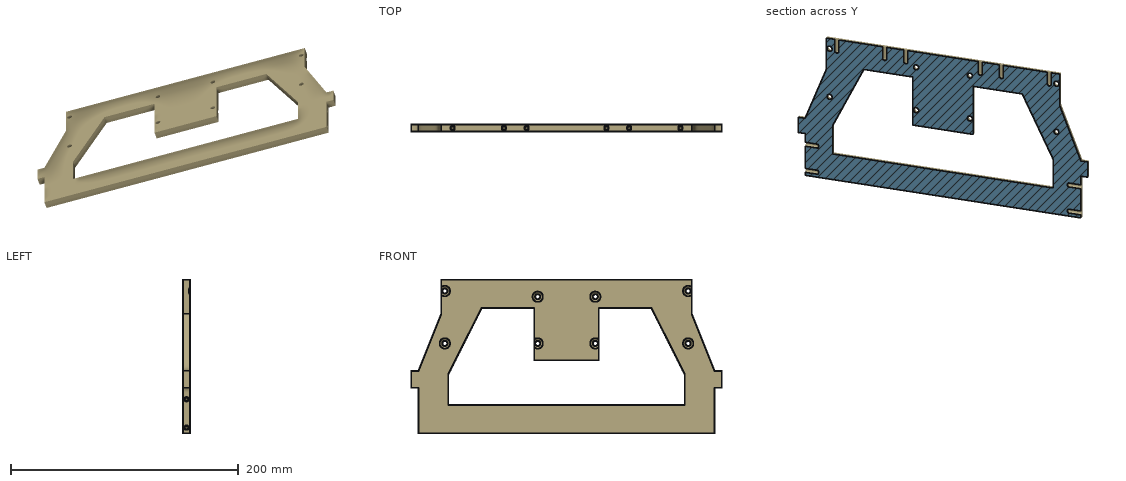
import cadquery as cq
import math

HEIGHT = 135.0
THICKNESS = 6.35
BASE_WIDTH = 260.0
TOP_WIDTH = 220.0

TAB_REACH = 6.35
TAB_BOTTOM = 40.0
TAB_TOP = 55.0
SHOULDER_TOP = 105.0

WINDOW_BOTTOM = 25.0
WINDOW_TOP = 110.0
WINDOW_WIDTH = 207.3
WINDOW_TOP_WIDTH = 149.0
WINDOW_CORNER = 52.0
TONGUE_WIDTH = 57.0
TONGUE_BOTTOM = 64.0

SCREW_DIAMETER = 4.3
SINK_DIAMETER = 9.2
SINK_ANGLE = 90.0
OUTER_SCREW_X = 106.8
INNER_SCREW_X = 25.3
LOWER_SCREW_Z = 79.0
OUTER_UPPER_SCREW_Z = 125.0
INNER_UPPER_SCREW_Z = 120.0

TAP_DIAMETER = 3.3
TAP_MOUTH_DIAMETER = 4.0
TAP_DEPTH = 12.0
DRILL_POINT_ANGLE = 118.0
TOP_TAP_X = (35.0, 55.0, 100.0)
SIDE_TAP_Z = (5.0, 30.0)

SIDES = (-1, 1)


def mirrored_outline(right_half):
    """Close a right-hand half outline with its mirror image across X = 0."""
    left_half = [(-x, z) for x, z in reversed(right_half)]
    return cq.Workplane("XZ").polyline(right_half + left_half).close()


def make_plate():
    base_x = BASE_WIDTH / 2
    tab_x = base_x + TAB_REACH
    outline = mirrored_outline([
        (base_x, 0),
        (base_x, TAB_BOTTOM),
        (tab_x, TAB_BOTTOM),
        (tab_x, TAB_TOP),
        (base_x, TAB_TOP),
        (TOP_WIDTH / 2, SHOULDER_TOP),
        (TOP_WIDTH / 2, HEIGHT),
    ])
    return outline.extrude(THICKNESS / 2, both=True)


def make_window():
    outline = mirrored_outline([
        (WINDOW_WIDTH / 2, WINDOW_BOTTOM),
        (WINDOW_WIDTH / 2, WINDOW_CORNER),
        (WINDOW_TOP_WIDTH / 2, WINDOW_TOP),
        (TONGUE_WIDTH / 2, WINDOW_TOP),
        (TONGUE_WIDTH / 2, TONGUE_BOTTOM),
    ])
    return outline.extrude(THICKNESS / 2, both=True)


def drill_screw_holes(plate):
    centres = []
    for side in SIDES:
        centres.append((side * OUTER_SCREW_X, OUTER_UPPER_SCREW_Z))
        centres.append((side * OUTER_SCREW_X, LOWER_SCREW_Z))
        centres.append((side * INNER_SCREW_X, INNER_UPPER_SCREW_Z))
        centres.append((side * INNER_SCREW_X, LOWER_SCREW_Z))
    front_face = cq.Workplane("XZ", origin=(0, -THICKNESS / 2, 0))
    return (
        plate.copyWorkplane(front_face)
        .pushPoints(centres)
        .cskHole(SCREW_DIAMETER, SINK_DIAMETER, SINK_ANGLE)
    )


def make_tap_cutter():
    """Tapping hole along Z, opening at the origin and running down."""
    radius = TAP_DIAMETER / 2
    mouth_radius = TAP_MOUTH_DIAMETER / 2
    chamfer_depth = mouth_radius - radius
    point_depth = radius / math.tan(math.radians(DRILL_POINT_ANGLE / 2))
    profile = [
        (0, 0),
        (mouth_radius, 0),
        (radius, -chamfer_depth),
        (radius, -TAP_DEPTH),
        (0, -TAP_DEPTH - point_depth),
    ]
    return cq.Workplane("XZ").polyline(profile).close().revolve(360, (0, 0), (0, 1))


def drill_top_taps(plate):
    cutter = make_tap_cutter()
    for side in SIDES:
        for x in TOP_TAP_X:
            plate = plate.cut(cutter.translate((side * x, 0, HEIGHT)))
    return plate


def drill_side_taps(plate):
    for side in SIDES:
        cutter = make_tap_cutter().rotate((0, 0, 0), (0, 1, 0), side * 90)
        for z in SIDE_TAP_Z:
            plate = plate.cut(cutter.translate((side * BASE_WIDTH / 2, 0, z)))
    return plate


result = make_plate().cut(make_window())
result = drill_screw_holes(result)
result = drill_top_taps(result)
result = drill_side_taps(result)